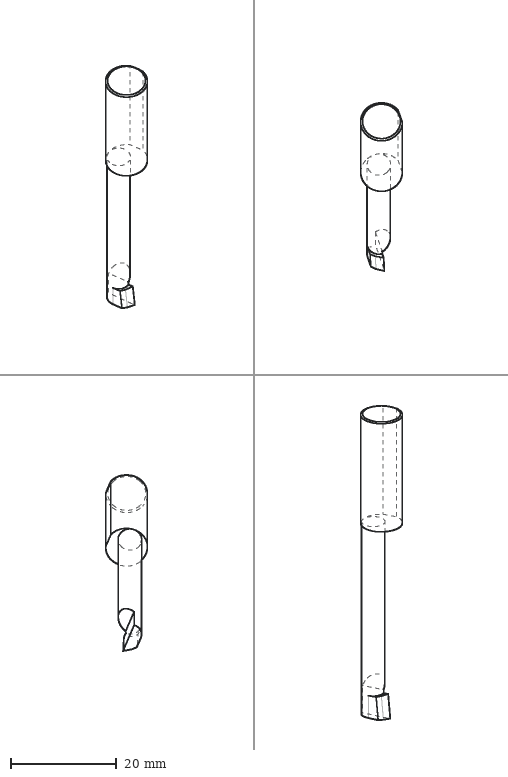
import cadquery as cq

total_length = 63.5

shank_diameter = 7.95
shank_radius = shank_diameter / 2
shank_depth = 7.7
shank_bottom = 40.65
chamfer_height = 0.2
chamfer_inset = 0.4

neck_diameter = 4.45
neck_radius = neck_diameter / 2
neck_x = neck_radius - shank_radius

runout_low = 5.85
runout_high = 7.75

tip_height = 5.1
tip_reach = 1.85
tip_flare = 0.45
front_land_inset = 1.5
relief_inset = 0.8
relief_y = -1.45

end_slope_x = 0.03
end_slope_y = 0.12


def make_shank():
    shank = (
        cq.Workplane("XY", origin=(0, 0, shank_bottom))
        .circle(shank_radius)
        .extrude(total_length - shank_bottom)
        .faces(">Z")
        .chamfer(chamfer_height, chamfer_inset)
    )
    flat_y = shank_depth - shank_radius
    beyond_flat = (
        cq.Workplane("XY", origin=(0, flat_y, shank_bottom))
        .box(shank_diameter, shank_radius, total_length, centered=(True, False, False))
    )
    return shank.cut(beyond_flat)


def make_neck():
    neck = cq.Workplane("XY").center(neck_x, 0).circle(neck_radius).extrude(shank_bottom)
    removed = (
        cq.Workplane("YZ", origin=(neck_x, 0, 0))
        .polyline([(0, 0), (neck_radius, 0), (neck_radius, runout_high), (0, runout_low)])
        .close()
        .extrude(neck_radius, both=True)
    )
    return neck.cut(removed)


def tip_outline(edge_x):
    return [
        (neck_x, 0),
        (neck_x, -neck_radius),
        (edge_x - front_land_inset, -neck_radius),
        (edge_x - relief_inset, relief_y),
        (edge_x, 0),
    ]


def make_tip():
    return (
        cq.Workplane("XY")
        .polyline(tip_outline(tip_reach))
        .close()
        .workplane(offset=tip_height)
        .polyline(tip_outline(tip_reach - tip_flare))
        .close()
        .loft(ruled=True, combine=True)
    )


def make_end_relief():
    relief_size = 4 * shank_diameter
    end_plane = cq.Plane(
        origin=(tip_reach, 0, 0),
        xDir=(1, 0, -end_slope_x),
        normal=(end_slope_x, end_slope_y, 1),
    )
    return cq.Workplane(end_plane).rect(relief_size, relief_size).extrude(-shank_diameter)


bar = make_neck().union(make_shank()).union(make_tip())
result = bar.cut(make_end_relief())